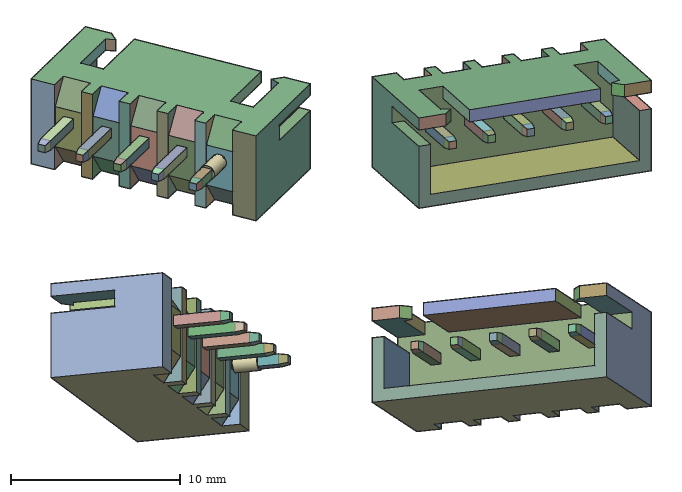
import cadquery as cq

LENGTH = 14.9
DEPTH = 7.0
HEIGHT = 5.75
SIDE_WALL = 0.76
FLAT_WALL = 0.77
SLOT_DEPTH = 4.0
SLOT_FLOOR_Y = DEPTH - SLOT_DEPTH

SIDE_SLOT_HEIGHT = 1.03
TOP_SLOT_INNER_X = 4.2
TOP_SLOT_OUTER_X = 5.72
BARB_REACH = 0.58
BARB_TIP_DROP = 0.57
BARB_LENGTH = 0.77

PIN_COUNT = 5
PITCH = 2.5
PIN_WIDTH = 0.64
PIN_TIP_WIDTH = 0.48
PIN_TIP_LENGTH = 0.55
PIN_TAIL = 3.4
PIN_MOUTH_SETBACK = 0.64
PIN_DEPTH_BELOW_TOP = 2.35
PIN_AXIS_Z = HEIGHT - PIN_DEPTH_BELOW_TOP
PIN_XS = [(i - (PIN_COUNT - 1) / 2) * PITCH for i in range(PIN_COUNT)]

COLLAR_DIAMETER = 0.95
COLLAR_LENGTH = 1.53

RECESS_WIDTH = 1.77
RECESS_FLOOR_DEPTH = 0.09
RECESS_EDGE_DEPTH = 1.15
RECESS_SLOPE_HEIGHT = 1.52


def box_between(x0, x1, y0, y1, z0, z1):
    """Axis-aligned box given by its limits."""
    return cq.Workplane("XY").box(x1 - x0, y1 - y0, z1 - z0, centered=False).translate((x0, y0, z0))


def housing_shell():
    """Block with the mating cavity opened from the +Y face."""
    half = LENGTH / 2
    inner_half = half - SIDE_WALL
    block = box_between(-half, half, 0, DEPTH, 0, HEIGHT)
    cavity = box_between(-inner_half, inner_half, SLOT_FLOOR_Y, DEPTH, FLAT_WALL, HEIGHT - FLAT_WALL)
    return block.cut(cavity)


def side_slots():
    """Slot just below the top wall, running through both end walls."""
    top = HEIGHT - FLAT_WALL
    return box_between(-LENGTH / 2, LENGTH / 2, SLOT_FLOOR_Y, DEPTH, top - SIDE_SLOT_HEIGHT, top)


def top_slot():
    """Slot through the top wall at +X, narrowed at its mouth by the barb of the latch arm."""
    barb_tip_x = TOP_SLOT_OUTER_X - BARB_REACH
    return (
        cq.Workplane("XY")
        .workplane(offset=HEIGHT - FLAT_WALL)
        .moveTo(TOP_SLOT_INNER_X, SLOT_FLOOR_Y)
        .lineTo(TOP_SLOT_OUTER_X, SLOT_FLOOR_Y)
        .lineTo(TOP_SLOT_OUTER_X, DEPTH - BARB_LENGTH)
        .lineTo(barb_tip_x, DEPTH - BARB_TIP_DROP)
        .lineTo(TOP_SLOT_OUTER_X, DEPTH)
        .lineTo(TOP_SLOT_INNER_X, DEPTH)
        .close()
        .extrude(FLAT_WALL)
    )


def back_recess(x):
    """Shallow recess that slopes deeper towards the top and bottom faces."""
    return (
        cq.Workplane("YZ")
        .polyline([
            (0, 0),
            (RECESS_EDGE_DEPTH, 0),
            (RECESS_FLOOR_DEPTH, RECESS_SLOPE_HEIGHT),
            (RECESS_FLOOR_DEPTH, HEIGHT - RECESS_SLOPE_HEIGHT),
            (RECESS_EDGE_DEPTH, HEIGHT),
            (0, HEIGHT),
        ])
        .close()
        .extrude(RECESS_WIDTH / 2, both=True)
        .translate((x, 0, 0))
    )


def pin_tip(base_y, end_y):
    """Tapered end of a contact on the pin axis, from base_y to end_y."""
    length = abs(end_y - base_y)
    direction = 1 if end_y > base_y else -1
    plane = cq.Plane(origin=(0, base_y, PIN_AXIS_Z), xDir=(1, 0, 0), normal=(0, direction, 0))
    return (
        cq.Workplane(plane)
        .rect(PIN_WIDTH, PIN_WIDTH)
        .workplane(offset=length)
        .rect(PIN_TIP_WIDTH, PIN_TIP_WIDTH)
        .loft(ruled=True)
    )


def contact_pin(x):
    """Square contact with both ends tapered."""
    tail_end = -PIN_TAIL
    mouth_end = DEPTH - PIN_MOUTH_SETBACK
    shaft_start = tail_end + PIN_TIP_LENGTH
    shaft_end = mouth_end - PIN_TIP_LENGTH
    half = PIN_WIDTH / 2
    shaft = box_between(-half, half, shaft_start, shaft_end, PIN_AXIS_Z - half, PIN_AXIS_Z + half)
    pin = shaft.union(pin_tip(shaft_start, tail_end)).union(pin_tip(shaft_end, mouth_end))
    return pin.translate((x, 0, 0))


def collar(x):
    """Round collar on a contact, starting level with the back face."""
    plane = cq.Plane(origin=(x, 0, PIN_AXIS_Z), xDir=(1, 0, 0), normal=(0, -1, 0))
    return cq.Workplane(plane).circle(COLLAR_DIAMETER / 2).extrude(COLLAR_LENGTH)


latch_slot = top_slot()
result = housing_shell().cut(side_slots()).cut(latch_slot).cut(latch_slot.mirror("YZ"))
for pin_x in PIN_XS:
    result = result.cut(back_recess(pin_x))
for pin_x in PIN_XS:
    result = result.union(contact_pin(pin_x))
result = result.union(collar(PIN_XS[-1]))